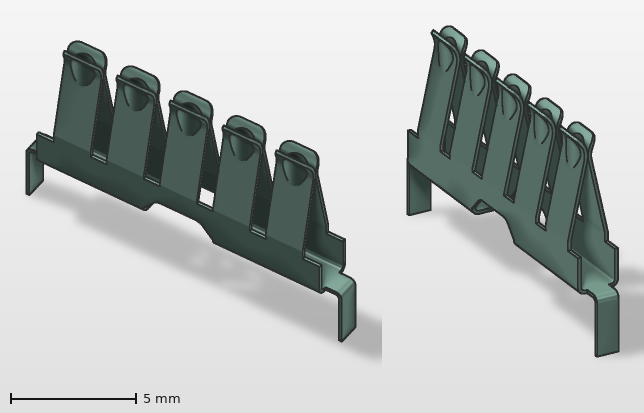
import cadquery as cq
import math


overall_length = 15.1
overall_width = 1.85
top_height = 6.43
foot_depth = 2.49
sheet = 0.15

channel_length = 13.53
channel_bend_radius = 0.33
shoulder_height = 1.65
notch_height = 1.8
channel_height = 1.96

arch_base_width = 3.32
arch_base_height = 0.33
arch_top_width = 2.08
arch_top_height = 1.01
arch_fillet = 0.53

foot_width = 1.0
foot_bend_radius = 0.3

finger_count = 5
finger_pitch = 2.54
finger_width = 1.77
finger_bend_height = 2.04
lean_angle = math.radians(12.5)
finger_bend_radius = 0.21
neck_gap = 0.02
neck_radius = 0.9
tip_corner_radius = 0.47

dimple_outer_face = 0.32
dimple_radius = 1.15

half_width = overall_width / 2
first_finger_x = -finger_pitch * (finger_count - 1) / 2
finger_positions = [first_finger_x + finger_pitch * i for i in range(finger_count)]
finger_row_length = finger_pitch * (finger_count - 1) + finger_width


def centred_box(x_size, y_size, z_bottom, z_top):
    box = cq.Workplane("XY").box(x_size, y_size, z_top - z_bottom, centered=(True, True, False))
    return box.translate((0, 0, z_bottom))


def make_channel():
    """U channel with shoulders, lowered notches beside the outermost fingers and the arch."""
    outside = centred_box(channel_length, overall_width, 0, channel_height)
    outside = outside.edges("|X and <Z").fillet(channel_bend_radius)
    inside = centred_box(channel_length, overall_width - 2 * sheet, sheet, channel_height)
    inside = inside.edges("|X and <Z").fillet(channel_bend_radius - sheet)
    channel = outside.cut(inside)

    shoulder_length = (channel_length - finger_row_length) / 2
    shoulder = centred_box(shoulder_length, overall_width, shoulder_height, channel_height)
    shoulder_x = (channel_length - shoulder_length) / 2

    notch = centred_box(finger_pitch - finger_width, overall_width, notch_height, channel_height)
    notch_x = finger_positions[-1] - finger_pitch / 2

    for side in (-1, 1):
        channel = channel.cut(shoulder.translate((side * shoulder_x, 0, 0)))
        channel = channel.cut(notch.translate((side * notch_x, 0, 0)))

    return channel.cut(make_arch())


def make_arch():
    """Trapezoid with rounded upper corners above a straight-sided gap in the floor."""
    arch = (
        cq.Workplane("XZ")
        .moveTo(-arch_base_width / 2, 0)
        .lineTo(-arch_base_width / 2, arch_base_height)
        .lineTo(-arch_top_width / 2, arch_top_height)
        .lineTo(arch_top_width / 2, arch_top_height)
        .lineTo(arch_base_width / 2, arch_base_height)
        .lineTo(arch_base_width / 2, 0)
        .close()
        .extrude(half_width, both=True)
    )
    return arch.edges("|Y and >Z").fillet(arch_fillet)


def make_feet():
    """Strip that leaves each end of the channel floor and turns down into a foot."""
    outside = centred_box(overall_length, foot_width, -foot_depth, sheet)
    outside = outside.edges("|Y and >Z").fillet(foot_bend_radius)
    inside = centred_box(overall_length - 2 * sheet, foot_width, -foot_depth, 0)
    inside = inside.edges("|Y and >Z").fillet(foot_bend_radius - sheet)
    floor_gap = centred_box(channel_length - 2 * sheet, foot_width, 0, sheet)
    return outside.cut(inside).cut(floor_gap)


def make_finger():
    """One +Y finger centred on X = 0: leaning arm, outward-curved neck and dimple."""
    inner_radius = neck_radius + sheet
    neck_y = neck_gap / 2 + inner_radius
    arm_rise = (half_width - neck_y + neck_radius * math.cos(lean_angle)) / math.tan(lean_angle)
    neck_z = finger_bend_height + arm_rise + neck_radius * math.sin(lean_angle)
    tip_angle = math.asin((top_height - neck_z) / inner_radius)

    def on_neck(radius, angle):
        return (neck_y - radius * math.cos(angle), neck_z + radius * math.sin(angle))

    def bend_point(depth):
        """Fold corner at a depth below the outer face; the bisector keeps the sheet even."""
        return (half_width - depth, finger_bend_height - depth * math.tan(lean_angle / 2))

    def face_line(depth):
        """Side profile of the surface at a depth below the finger's outer face, root to tip."""
        radius = neck_radius + depth
        return (
            cq.Workplane("YZ")
            .moveTo(half_width - depth, channel_height)
            .lineTo(*bend_point(depth))
            .lineTo(*on_neck(radius, -lean_angle))
            .threePointArc(on_neck(radius, 0), on_neck(radius, tip_angle))
        )

    finger = (
        face_line(sheet)
        .lineTo(*on_neck(neck_radius, tip_angle))
        .threePointArc(on_neck(neck_radius, 0), on_neck(neck_radius, -lean_angle))
        .lineTo(*bend_point(0))
        .lineTo(half_width, channel_height)
        .close()
        .extrude(finger_width / 2, both=True)
    )

    for depth in (0, sheet):
        fold_edge = cq.selectors.NearestToPointSelector((0, *bend_point(depth)))
        finger = finger.edges(fold_edge).fillet(finger_bend_radius - depth)

    tip_direction = cq.Vector(0, math.sin(tip_angle), math.cos(tip_angle))
    tip_face = cq.selectors.DirectionMinMaxSelector(tip_direction, True)
    finger = finger.faces(tip_face).edges("not |X").fillet(tip_corner_radius)

    outer_side = (
        face_line(sheet / 2)
        .lineTo(half_width, top_height)
        .lineTo(half_width, channel_height)
        .close()
        .extrude(finger_width / 2, both=True)
    )
    cylinder = cq.Workplane("XY").circle(dimple_radius).extrude(top_height)
    dimple = cylinder.translate((0, dimple_outer_face - dimple_radius, 0))
    hollow = dimple.translate((0, -sheet, 0))
    return finger.union(dimple.intersect(outer_side)).cut(hollow)


result = make_channel().union(make_feet())
finger = make_finger()
facing_finger = finger.mirror("XZ")
for x in finger_positions:
    result = result.union(finger.translate((x, 0, 0)))
    result = result.union(facing_finger.translate((x, 0, 0)))